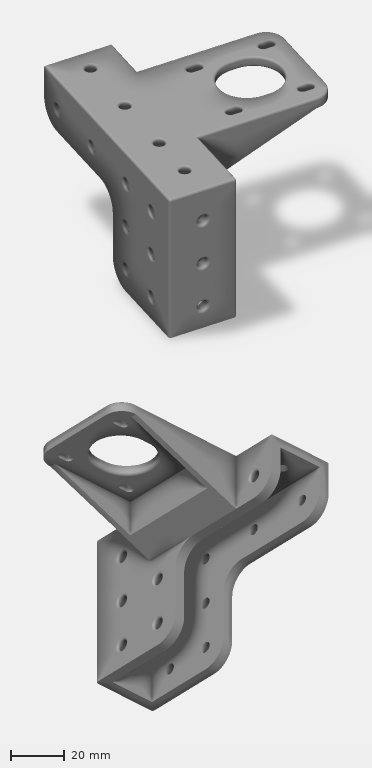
import cadquery as cq

beam = 20.0
wall = 4.5
length = 98.5
depth = beam + 2 * wall
height = 64.5
side_height = wall + beam
leg_left = 54.0
leg_radius = 10.0
edge_radius = 1.0

screw_dia = 4.5
beam_mid_y = depth / 2
row_pitch = 20.0
first_row_z = -(wall + beam / 2)
rows_z = [first_row_z - row_pitch * i for i in range(3)]
leg_columns_x = [leg_left + beam / 2, leg_left + beam / 2 + row_pitch]
top_columns_x = [10.0, 37.0] + leg_columns_x

arm_left = 20.0
arm_width = 48.0
arm_right = arm_left + arm_width
arm_end = 88.0
arm_corner_radius = 8.0
motor_x = arm_left + arm_width / 2
motor_y = 64.5
motor_travel = 3.0
motor_clearance = 43.0
motor_boss_dia = 24.0
motor_screw_dia = 3.5
motor_screw_pitch = 31.0


def channel():
    """Top plate, two L-shaped side walls and an end wall around the beam."""
    body = (
        cq.Workplane("XZ")
        .lineTo(length, 0)
        .lineTo(length, -height)
        .lineTo(leg_left, -height)
        .lineTo(leg_left, -side_height)
        .lineTo(0, -side_height)
        .close()
        .extrude(-depth)
    )
    for x, z in [(0, -side_height), (leg_left, -side_height), (leg_left, -height)]:
        corner = cq.selectors.NearestToPointSelector((x, depth / 2, z))
        body = body.edges("|Y").edges(corner).fillet(leg_radius)
    beam_space = cq.Workplane("XY").box(length - wall, beam, height - wall, centered=False)
    return body.cut(beam_space.translate((0, wall, -height)))


def motor_arm():
    """Motor plate on a wedge, hollowed underneath to clear the motor body."""
    taper_end = arm_end - arm_corner_radius
    root_y = depth - wall
    arm = (
        cq.Workplane("YZ", origin=(arm_left, 0, 0))
        .moveTo(root_y, 0)
        .lineTo(arm_end, 0)
        .lineTo(arm_end, -wall)
        .lineTo(taper_end, -wall)
        .lineTo(depth, -side_height)
        .lineTo(root_y, -side_height)
        .close()
        .extrude(arm_width)
    )
    arm = arm.edges("|Z and >Y").fillet(arm_corner_radius)
    pocket_start = motor_y - (motor_clearance + motor_travel) / 2
    pocket = cq.Workplane("XY").box(
        motor_clearance, arm_end - pocket_start, side_height - wall, centered=(True, False, False)
    )
    return arm.cut(pocket.translate((motor_x, pocket_start, -side_height)))


def round_outer_edges(body):
    """Round the top outline and the two upright edges of the end wall."""
    edges = body.faces(">Z").edges().add(body.faces(">X").edges("|Z"))
    return edges.fillet(edge_radius)


def opening_tool(outline, rounded_faces=">Z"):
    """Cutter for an opening through one wall, from Z = 0 down, with rounded mouths.

    It is the material missing from a blank plate that was pierced and rounded.
    """
    blank = cq.Workplane("XY").rect(length, length).extrude(-wall)
    pierced = blank.cut(outline.extrude(-wall))
    rims = []
    for face in pierced.faces(rounded_faces).vals():
        rims.extend(face.innerWires()[0].Edges())
    return blank.cut(pierced.newObject(rims).fillet(edge_radius))


def slot_outline(dia):
    """Outline of a round opening stretched along Y by the motor travel."""
    return cq.Workplane("XY").slot2D(dia + motor_travel, dia, 90)


def cut_screw_holes(body):
    """Holes through the top plate, both side walls and the end wall."""
    top_tool = opening_tool(cq.Workplane("XY").circle(screw_dia / 2))
    front_tool = top_tool.rotate((0, 0, 0), (1, 0, 0), 90)
    rear_tool = top_tool.rotate((0, 0, 0), (1, 0, 0), -90)
    end_tool = top_tool.rotate((0, 0, 0), (0, 1, 0), 90)

    for x in top_columns_x:
        body = body.cut(top_tool.translate((x, beam_mid_y, 0)))

    side_points = [(x, first_row_z) for x in top_columns_x]
    side_points += [(x, z) for x in leg_columns_x for z in rows_z[1:]]
    for x, z in side_points:
        body = body.cut(front_tool.translate((x, 0, z)))
        behind_is_arm = arm_left < x < arm_right and z > -side_height
        if not behind_is_arm:
            body = body.cut(rear_tool.translate((x, depth, z)))

    for z in rows_z:
        body = body.cut(end_tool.translate((length, beam_mid_y, z)))
    return body


def cut_motor_openings(body):
    """Boss opening, rounded on both faces, and four screw slots in the motor plate."""
    boss_tool = opening_tool(slot_outline(motor_boss_dia), rounded_faces="|Z")
    body = body.cut(boss_tool.translate((motor_x, motor_y, 0)))
    screw_tool = opening_tool(slot_outline(motor_screw_dia))
    half_pitch = motor_screw_pitch / 2
    for x in (motor_x - half_pitch, motor_x + half_pitch):
        for y in (motor_y - half_pitch, motor_y + half_pitch):
            body = body.cut(screw_tool.translate((x, y, 0)))
    return body


bracket = channel().union(motor_arm())
bracket = round_outer_edges(bracket)
bracket = cut_screw_holes(bracket)
result = cut_motor_openings(bracket)